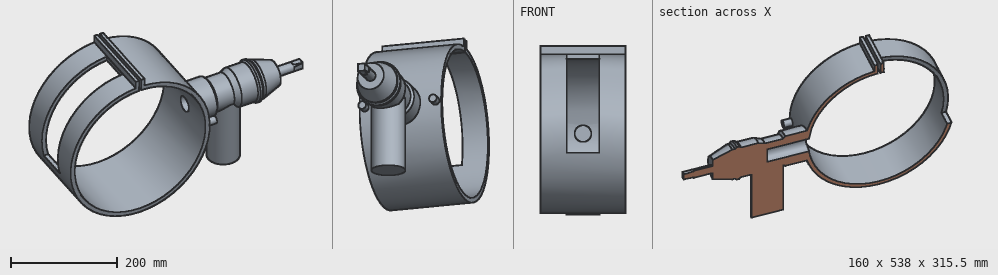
import cadquery as cq

ring_width = 160.0
ring_outer_radius = 149.0
ring_inner_radius = 140.0

split_gap = 5.0
lug_thickness = 7.0
lug_top = 164.0
lug_outer_y = split_gap / 2 + lug_thickness

window_width = 61.0
window_floor = -35.5
window_start_y = -(lug_outer_y + 0.5)

pin_radius = 7.5
pin_spacing = 139.0
pin_end = 166.0

body_radius = 39.0
neck_radius = 34.0
nose_radius = 26.0
rib_radius = 42.5
collar_start = 132.0
collar_end = 187.0
neck_start = 191.5
neck_end = 227.5
barrel_start = 240.5
rib_start = 275.0
rib_end = 287.0
rib_chamfer = 4.0
cone_start = 292.5
nose_end = 331.5

stem_radius = 9.5
stem_end = 538 - ring_outer_radius
square_tip_side = 14.0
square_base_side = 16.5
square_length = 20.0

branch_radius = 32.0
branch_y = 222.0
branch_bottom = -151.5
bore_radius = 15.5
bore_end = branch_y


def cylinder_x(radius, length):
    end_plane = cq.Plane(origin=(-length / 2, 0, 0), xDir=(0, 0, 1), normal=(1, 0, 0))
    return cq.Workplane(end_plane).circle(radius).extrude(length)


def cylinder_y(radius, start, end, x=0):
    return cq.Workplane("XZ", origin=(x, start, 0)).circle(radius).extrude(start - end)


def make_clamp():
    lug_block = cq.Workplane("XY").box(
        ring_width, 2 * lug_outer_y, lug_top, centered=(True, True, False)
    )
    split = cq.Workplane("XY").box(
        ring_width, split_gap, lug_top, centered=(True, True, False)
    )
    window = cq.Workplane("XY", origin=(0, window_start_y, window_floor)).box(
        window_width, 2 * ring_outer_radius, lug_top - window_floor, centered=(True, True, False)
    ).translate((0, -ring_outer_radius, 0))
    return cylinder_x(ring_outer_radius, ring_width).union(lug_block).cut(split).cut(window)


def make_body():
    profile = [
        (0, collar_start),
        (body_radius, collar_start),
        (body_radius, collar_end),
        (neck_radius, neck_start),
        (neck_radius, neck_end),
        (body_radius, barrel_start),
        (body_radius, rib_start),
        (rib_radius, rib_start + rib_chamfer),
        (rib_radius, rib_end - rib_chamfer),
        (body_radius, rib_end),
        (body_radius, cone_start),
        (nose_radius, nose_end),
        (0, nose_end),
    ]
    body = cq.Workplane("XY").polyline(profile).close().revolve(360, (0, 0, 0), (0, 1, 0))
    return body


def make_stem():
    square_start = stem_end - square_length
    square = cq.Workplane("XZ", origin=(0, stem_end, 0)).rect(square_tip_side, square_tip_side)
    square = square.workplane(offset=square_length).rect(square_base_side, square_base_side).loft()
    square_end = cylinder_y(stem_radius, square_start, stem_end).intersect(square)
    return cylinder_y(stem_radius, nose_end, square_start).union(square_end)


def make_branch():
    return cq.Workplane("XY", origin=(0, branch_y, branch_bottom)).circle(branch_radius).extrude(
        -branch_bottom
    )


result = make_clamp().union(make_body()).union(make_stem()).union(make_branch())
for pin_x in (-pin_spacing / 2, pin_spacing / 2):
    result = result.union(cylinder_y(pin_radius, ring_inner_radius, pin_end, pin_x))
result = result.cut(cylinder_x(ring_inner_radius, ring_width))
result = result.cut(cylinder_y(bore_radius, 0, bore_end))